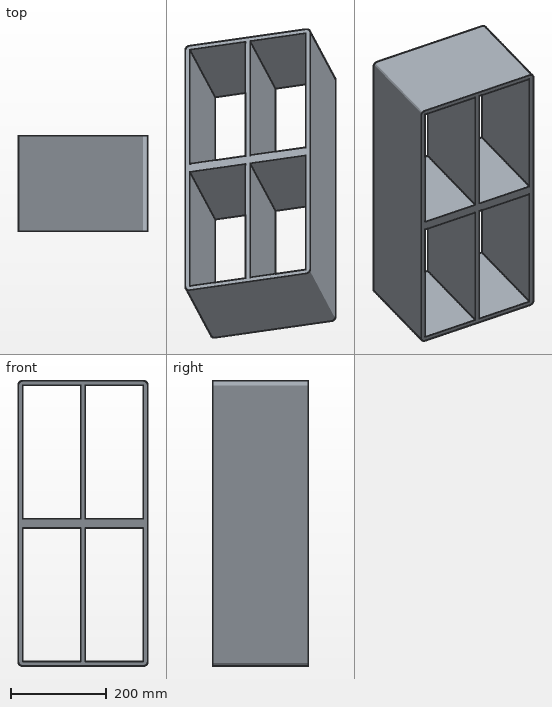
import cadquery as cq

width = 271.0
depth = 200.0
height = 596.0

wall = 10.0
divider = 10.0
middle_shelf = 20.0

corner_radius = 10.0

opening_width = (width - 2 * wall - divider) / 2
opening_height = (height - 2 * wall - middle_shelf) / 2
opening_offset_x = (opening_width + divider) / 2
opening_offset_z = (opening_height + middle_shelf) / 2


def make_body():
    """Solid block with its four long outer edges rounded."""
    return cq.Workplane("XY").box(width, depth, height).edges("|Y").fillet(corner_radius)


def cut_compartments(body):
    """Cut the rectangular compartments through the full depth."""
    for side in (-1, 1):
        for level in (-1, 1):
            opening = cq.Workplane("XY").box(opening_width, depth, opening_height)
            body = body.cut(opening.translate((side * opening_offset_x, 0, level * opening_offset_z)))
    return body


result = cut_compartments(make_body())